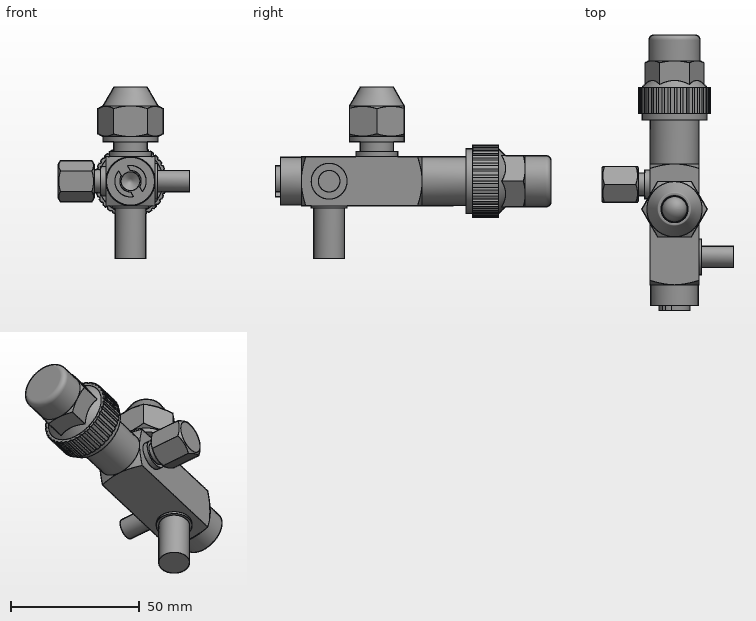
import cadquery as cq
import math

collar_front = 1.9
block_front = 10.1
block_back = 56.9
ring_front = 73.9
knurl_front = 76.5
knurl_back = 86.7
hex_back = 96.9
valve_back = 107.0

block_width = 19.0
block_bevel = 1.7
collar_radius = 9.3
ring_radius = 12.6
knurl_radius = 14.0
bonnet_flats = 19.9
bonnet_radius = bonnet_flats / 2
bonnet_bevel = 0.7
bonnet_rounding = 2.0

groove_count = 36
groove_radius = 0.48
groove_offset_angle = 1.9

tip_radius = 6.1
tip_bore_radius = 4.2
slot_width = 4.0
slot_angle = 60
spindle_hole_radius = 3.6
spindle_hole_depth = 6.4
drill_point_angle = 118

pipe_station = 20.9
flare_station = 39.4
plug_station = 49.0

flare_boss = {"radius": 8.1, "end": 11.6}
flare_neck = {"radius": 6.5, "end": 15.3}
flare_washer = {"radius": 10.7, "end": 17.3}
flare_hex_end = 29.2
flare_top = 36.6
flare_flats = 22.0
flare_bevel = 1.1
flare_tip_radius = 6.4
flare_bore_radius = 5.2
flare_rim_rounding = 0.4
flare_dome_radius = 4.9
flare_bore_depth = 5.1

plug_washer = {"radius": 5.7, "end": 11.6}
plug_neck = {"radius": 4.5, "end": 14.0}
plug_end = 28.1
plug_flats = 13.9
plug_face_radius = 6.4
plug_bevel = 1.0

pipe_flange = {"radius": 7.0, "end": 10.5}
down_pipe = {"radius": 6.0, "end": 30.1}
side_pipe = {"radius": 4.2, "end": 22.9}

half_block = block_width / 2


def corners(across_flats):
    """Distance across the corners of a regular hexagon."""
    return across_flats / math.cos(math.radians(30))


def disc(radius, start, end):
    """Cylinder around local Z."""
    return cq.Workplane("XY").workplane(offset=start).circle(radius).extrude(end - start)


def cone_frustum(base_radius, top_radius, start, end):
    """Truncated cone around local Z."""
    profile = [(0, start), (base_radius, start), (top_radius, end), (0, end)]
    return cq.Workplane("XZ").polyline(profile).close().revolve(360, (0, 0, 0), (0, 1, 0))


def bevelled(prism, start, end, corner_radius, face_radius, start_bevel, end_bevel):
    """Turn the corners at the ends of a prism down to face_radius."""
    radial = corner_radius - face_radius
    envelope = disc(corner_radius, start, end)
    if start_bevel:
        envelope = envelope.faces("<Z").chamfer(start_bevel, radial)
    if end_bevel:
        envelope = envelope.faces(">Z").chamfer(end_bevel, radial)
    return prism.intersect(envelope)


def hex_bar(across_flats, start, end, face_radius, start_bevel, end_bevel):
    """Hexagonal bar around local Z with two corners on local X."""
    across_corners = corners(across_flats)
    bar = cq.Workplane("XY").workplane(offset=start).polygon(6, across_corners).extrude(end - start)
    return bevelled(bar, start, end, across_corners / 2, face_radius, start_bevel, end_bevel)


def placed(shape, normal, x_dir, station=0):
    """Lay local Z along normal, starting from the given place on the valve axis."""
    plane = cq.Plane(origin=(0, station, 0), xDir=x_dir, normal=normal)
    return cq.Workplane(shape.val().moved(cq.Location(plane)))


def make_block():
    block = (
        cq.Workplane("XY").workplane(offset=block_front)
        .rect(block_width, block_width).extrude(block_back - block_front)
    )
    corner_radius = half_block * math.sqrt(2)
    return bevelled(block, block_front, block_back, corner_radius, half_block, block_bevel, block_bevel)


def make_knurl():
    knurl = disc(knurl_radius, knurl_front, knurl_back)
    grooves = (
        cq.Workplane("XY").workplane(offset=knurl_front)
        .polarArray(knurl_radius, groove_offset_angle, 360, groove_count)
        .circle(groove_radius).extrude(knurl_back - knurl_front)
    )
    return knurl.cut(grooves)


def make_bonnet():
    ring = disc(ring_radius, ring_front, knurl_front)
    cone_length = ring_radius - bonnet_radius
    cone = cone_frustum(ring_radius, bonnet_radius, knurl_back, knurl_back + cone_length)
    hexagon = hex_bar(bonnet_flats, knurl_back, hex_back, bonnet_radius, 0, bonnet_bevel)
    cap = disc(bonnet_radius, hex_back, valve_back).faces(">Z").edges().fillet(bonnet_rounding)
    return ring.union(make_knurl()).union(cone).union(hexagon).union(cap)


def make_spindle_tip():
    tip = disc(tip_radius, 0, collar_front).cut(disc(tip_bore_radius, 0, collar_front))
    slot = (
        cq.Workplane("XY").transformed(rotate=(0, 0, slot_angle))
        .rect(3 * tip_radius, slot_width).extrude(collar_front)
    )
    return tip.cut(slot)


def make_spindle_hole():
    point_length = spindle_hole_radius / math.tan(math.radians(drill_point_angle / 2))
    return (
        cq.Workplane("XZ")
        .lineTo(spindle_hole_radius, 0)
        .lineTo(spindle_hole_radius, spindle_hole_depth)
        .lineTo(0, spindle_hole_depth + point_length)
        .close()
        .revolve(360, (0, 0, 0), (0, 1, 0))
    )


def make_valve():
    neck = disc(half_block, block_back, ring_front)
    collar = disc(collar_radius, collar_front, block_front)
    valve = make_block().union(neck).union(collar).union(make_bonnet())
    return valve.cut(make_spindle_hole()).union(make_spindle_tip())


def make_flare_branch():
    washer_radius = flare_washer["radius"]
    hex_start = flare_washer["end"]
    boss = disc(flare_boss["radius"], 0, flare_boss["end"])
    neck = disc(flare_neck["radius"], 0, flare_neck["end"])
    washer = disc(washer_radius, flare_neck["end"], hex_start)
    hexagon = hex_bar(flare_flats, hex_start, flare_hex_end, washer_radius, flare_bevel, flare_bevel)
    milled = cq.Workplane("XY").box(corners(flare_flats), 2 * washer_radius, 2 * flare_top)
    hexagon = hexagon.intersect(milled)
    cone = cone_frustum(washer_radius, flare_tip_radius, flare_hex_end, flare_top)
    bore_floor = flare_top - flare_bore_depth
    cone = cone.cut(disc(flare_bore_radius, bore_floor, flare_top))
    cone = cone.faces(">Z").edges().fillet(flare_rim_rounding)
    dome = cq.Workplane("XY").sphere(flare_dome_radius).translate((0, 0, bore_floor))
    return boss.union(neck).union(washer).union(hexagon).union(cone).union(dome)


def make_plug_branch():
    washer = disc(plug_washer["radius"], 0, plug_washer["end"])
    neck = disc(plug_neck["radius"], 0, plug_neck["end"])
    hexagon = hex_bar(plug_flats, plug_neck["end"], plug_end, plug_face_radius, plug_bevel, plug_bevel)
    return washer.union(neck).union(hexagon)


def make_pipe_branch(pipe):
    flange = disc(pipe_flange["radius"], 0, pipe_flange["end"])
    return flange.union(disc(pipe["radius"], 0, pipe["end"]))


X, Y, Z = (1, 0, 0), (0, 1, 0), (0, 0, 1)
LEFT, DOWN = (-1, 0, 0), (0, 0, -1)

valve = placed(make_valve(), Y, X)
flare_branch = placed(make_flare_branch(), Z, X, flare_station)
plug_branch = placed(make_plug_branch(), LEFT, Z, plug_station)
bottom_branch = placed(make_pipe_branch(down_pipe), DOWN, X, pipe_station)
side_branch = placed(make_pipe_branch(side_pipe), X, Z, pipe_station)

result = valve.union(flare_branch).union(plug_branch).union(bottom_branch).union(side_branch)